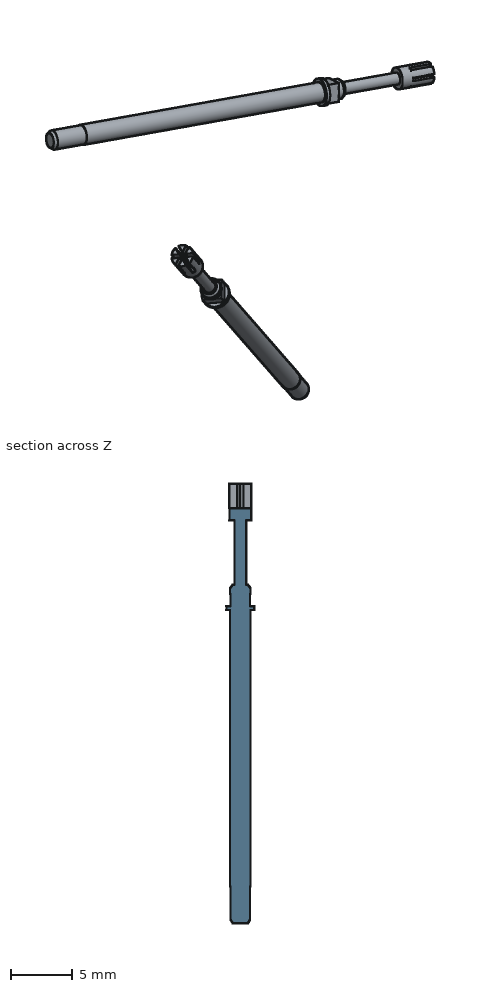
import cadquery as cq

total_length = 35.8
y_head = total_length / 2

head_diameter = 1.83
stem_diameter = 1.0
collar_diameter = 1.7
collar_nose_diameter = 1.25
flange_diameter = 2.3
barrel_diameter = 1.7
tail_diameter = 1.6

head_length = 3.0
nose_start = 8.25
collar_start = 8.52
square_start = 9.0
flange_start = 10.0
flange_end = 10.3
tail_start = 32.8

square_side = 1.6
tail_chamfer_length = 0.3
tail_chamfer_inset = 0.18

slot_width = 0.3
slot_depth = 2.0
slot_length = 2 * head_diameter
slot_count = 3


def cylinder(diameter, start, end):
    """Round bar on the axis between two distances from the head face."""
    return (
        cq.Workplane("XZ", origin=(0, y_head - start, 0))
        .circle(diameter / 2)
        .extrude(end - start)
    )


def slotted_head():
    head = cylinder(head_diameter, 0, head_length)
    slot = cq.Workplane("XY").box(slot_length, slot_depth, slot_width)
    slot = slot.translate((0, y_head - slot_depth / 2, 0))
    for index in range(slot_count):
        angle = index * 180 / slot_count
        head = head.cut(slot.rotate((0, 0, 0), (0, 1, 0), angle))
    return head


def collar():
    """Round collar with a tapered nose facing the stem."""
    taper = (
        cq.Workplane("XZ", origin=(0, y_head - nose_start, 0))
        .circle(collar_nose_diameter / 2)
        .workplane(offset=collar_start - nose_start)
        .circle(collar_diameter / 2)
        .loft()
    )
    return taper.union(cylinder(collar_diameter, collar_start, square_start))


def square_section():
    return (
        cq.Workplane("XZ", origin=(0, y_head - square_start, 0))
        .rect(square_side, square_side)
        .extrude(flange_end - square_start)
    )


def tail():
    return (
        cylinder(tail_diameter, tail_start, total_length)
        .faces("<Y")
        .chamfer(tail_chamfer_length, tail_chamfer_inset)
    )


result = (
    slotted_head()
    .union(cylinder(stem_diameter, head_length, nose_start))
    .union(collar())
    .union(square_section())
    .union(cylinder(flange_diameter, flange_start, flange_end))
    .union(cylinder(barrel_diameter, flange_end, tail_start))
    .union(tail())
)